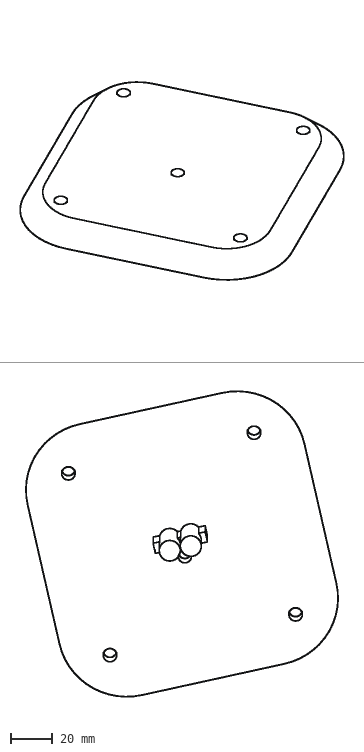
import cadquery as cq
import math

plate_side = 136.0
plate_height = 10.6
plate_corner_radius = 33.0
slope_inset = 10.9
slope_angle = math.degrees(math.atan(slope_inset / plate_height))

mount_hole_diameter = 6.4
mount_hole_offset = 45.5
center_hole_diameter = 6.3
center_hole_y = -6.3

pin_diameter = 10.0
pin_spacing = 10.3
pin_length = 28.2
pin_y = 3.8
web_width = 25.5
web_thickness = pin_diameter / 2
web_length = 14.4


def make_plate():
    """Plate with its wide face at Z = 0 and its sides leaning inward."""
    outline = (
        cq.Sketch()
        .rect(plate_side, plate_side)
        .vertices()
        .fillet(plate_corner_radius)
    )
    return cq.Workplane("XY").placeSketch(outline).extrude(plate_height, taper=slope_angle)


def make_hole_cutters():
    """Four mounting holes and one central hole, all through the plate."""
    spacing = 2 * mount_hole_offset
    mounts = (
        cq.Workplane("XY")
        .rect(spacing, spacing, forConstruction=True)
        .vertices()
        .circle(mount_hole_diameter / 2)
        .extrude(plate_height)
    )
    center = (
        cq.Workplane("XY")
        .center(0, center_hole_y)
        .circle(center_hole_diameter / 2)
        .extrude(plate_height)
    )
    return mounts.union(center)


def make_pins():
    """Two round pins hanging from the underside of the plate."""
    return (
        cq.Workplane("XY")
        .center(0, pin_y)
        .pushPoints([(-pin_spacing / 2, 0), (pin_spacing / 2, 0)])
        .circle(pin_diameter / 2)
        .extrude(-pin_length)
    )


def make_web():
    """Flat web running through both pins."""
    return (
        cq.Workplane("XY")
        .center(0, pin_y)
        .rect(web_width, web_thickness)
        .extrude(-web_length)
    )


plate = make_plate().cut(make_hole_cutters())
result = plate.union(make_pins()).union(make_web())